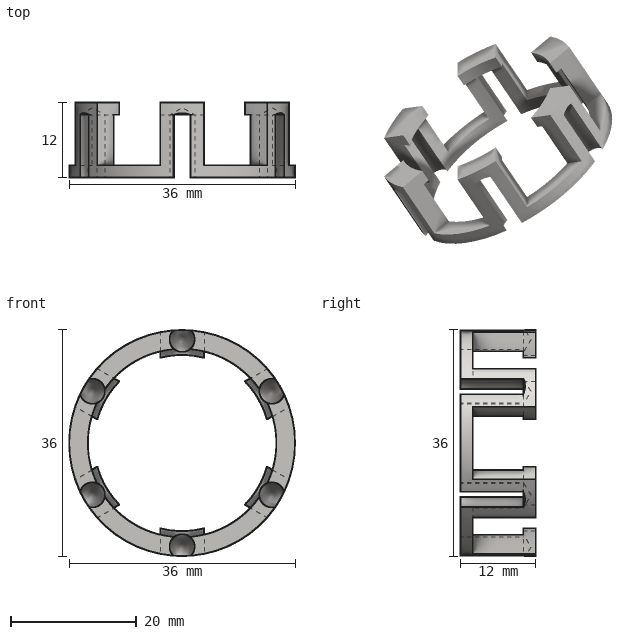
import cadquery as cq
import math

outer_radius = 18.0
inner_radius = 15.0
ring_thickness = 2.0

finger_count = 6
finger_width = 7.0
overall_length = 12.0
lip_thickness = 2.0
lip_inner_radius = 14.0
half_pitch_angle = 180 / finger_count

hole_diameter = 4.0
hole_tip_angle = 118.0
hole_depth = overall_length - lip_thickness
hole_circle_radius = (outer_radius + inner_radius) / 2

clearance = 2.0


def lipped_sleeve():
    """Full-length sleeve around Y with an inward lip at its far end."""
    profile = (
        cq.Workplane("XY")
        .moveTo(inner_radius, 0)
        .lineTo(outer_radius, 0)
        .lineTo(outer_radius, overall_length)
        .lineTo(lip_inner_radius, overall_length)
        .lineTo(lip_inner_radius, hole_depth)
        .lineTo(inner_radius, hole_depth)
        .close()
    )
    return profile.revolve(360, (0, 0, 0), (0, 1, 0))


def finger_gap():
    """Wedge centred on +Z whose sides are the flanks of two neighbouring fingers."""
    half_angle = math.radians(half_pitch_angle)
    apex = finger_width / 2 / math.sin(half_angle)
    reach = outer_radius + clearance
    half_base = (reach - apex) * math.tan(half_angle)
    return (
        cq.Workplane("XZ", origin=(0, ring_thickness, 0))
        .polyline([(0, apex), (half_base, reach), (-half_base, reach)])
        .close()
        .extrude(-(overall_length - ring_thickness + clearance))
    )


def drilled_hole():
    """Drill shape at +Z: a cylinder along Y with a conical tip."""
    radius = hole_diameter / 2
    tip_length = radius / math.tan(math.radians(hole_tip_angle / 2))
    profile = (
        cq.Workplane("XY")
        .moveTo(0, -clearance)
        .lineTo(radius, -clearance)
        .lineTo(radius, hole_depth)
        .lineTo(0, hole_depth + tip_length)
        .close()
    )
    drill = profile.revolve(360, (0, 0, 0), (0, 1, 0))
    return drill.translate((0, 0, hole_circle_radius))


def turned(shape, angle):
    """Turn a shape about the Y axis."""
    return shape.rotate((0, 0, 0), (0, 1, 0), angle)


result = lipped_sleeve()
for index in range(finger_count):
    finger_angle = 2 * half_pitch_angle * index
    result = result.cut(turned(finger_gap(), finger_angle + half_pitch_angle))
    result = result.cut(turned(drilled_hole(), finger_angle))